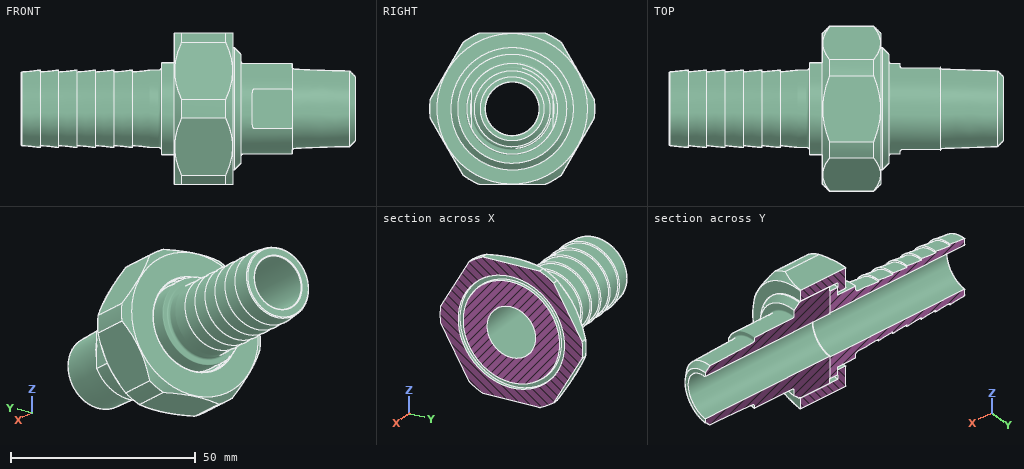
import cadquery as cq
import math

LENGTH = 90.5

TAIL_BORE_D = 15.0
TAIL_BORE_CHAMFER = 0.2
TAIL_RIM_CHAMFER = 0.3
BARB_COUNT = 7
BARB_PITCH = 5.0
BARB_ROOT_D = 20.0
BARB_PEAK_D = 21.0
BARB_LAND = 0.3
SHANK_END_X = 37.2
COLLAR_X = 38.0
COLLAR_D = 25.0
COLLAR_FILLET = 0.3
SHANK_FILLET = COLLAR_X - SHANK_END_X
TAIL_FLANGE_D = 30.3
TAIL_FLANGE_WIDTH = 2.7

NUT_X = 41.45
NUT_WIDTH = 15.9
NUT_ACROSS_FLATS = 41.0
NUT_CORNER_D = 44.7
NUT_CHAMFER = 2.0
NUT_LIP_WIDTH = 2.9
NUT_LIP_BORE_D = 26.5
NUT_LIP_CHAMFER = 0.3

END_BORE_D = 14.5
UNION_THREAD_D = 33.1
UNION_THREAD_END_X = 59.55
UNION_THREAD_END_D = 29.5
NECK_D = 24.5
NECK_END_X = 73.4
NECK_ROOT_FILLET = 0.5
NECK_EDGE_FILLET = 0.2
FLATS_X = 62.5
ACROSS_FLATS = 22.1
FLATS_FILLET = 0.5
PIPE_START_D = 21.5
PIPE_ROOT_FILLET = 0.5
PIPE_END_D = 20.5
PIPE_CHAMFER = 1.6

FLANGE_X = NUT_X + NUT_LIP_WIDTH
SEAT_X = FLANGE_X + TAIL_FLANGE_WIDTH

ARC_MID = math.sqrt(0.5)


def cylinder_x(diameter, start, end):
    return cq.Workplane("YZ").workplane(offset=start).circle(diameter / 2).extrude(end - start)


def revolve_about_x(profile):
    return profile.close().revolve(360, (0, 0, 0), (1, 0, 0))


def root_fillet_up(profile, x, r, size):
    """Concave quarter arc from a cylinder at radius r up to a face on its right."""
    return profile.threePointArc(
        (x + size * ARC_MID, r + size * (1 - ARC_MID)), (x + size, r + size)
    )


def root_fillet_down(profile, x, r, size):
    """Concave quarter arc from a face at x down to a cylinder of radius r on its right."""
    return profile.lineTo(x, r + size).threePointArc(
        (x + size * (1 - ARC_MID), r + size * (1 - ARC_MID)), (x + size, r)
    )


def make_hose_tail():
    root_r = BARB_ROOT_D / 2
    peak_r = BARB_PEAK_D / 2
    bore_r = TAIL_BORE_D / 2
    profile = (
        cq.Workplane("XY")
        .moveTo(TAIL_BORE_CHAMFER, bore_r)
        .lineTo(0, bore_r + TAIL_BORE_CHAMFER)
        .lineTo(0, root_r - TAIL_RIM_CHAMFER)
        .lineTo(TAIL_RIM_CHAMFER, root_r)
    )
    for barb in range(1, BARB_COUNT):
        crest_x = barb * BARB_PITCH + BARB_LAND
        profile = (
            profile.lineTo(crest_x - BARB_LAND, peak_r)
            .lineTo(crest_x, peak_r)
            .lineTo(crest_x, root_r)
        )
    profile = profile.lineTo(BARB_COUNT * BARB_PITCH, peak_r).lineTo(SHANK_END_X, peak_r)
    profile = root_fillet_up(profile, SHANK_END_X, peak_r, SHANK_FILLET)
    collar_r = COLLAR_D / 2
    edge_inset = COLLAR_FILLET * (1 - ARC_MID)
    profile = (
        profile.lineTo(COLLAR_X, collar_r - COLLAR_FILLET)
        .threePointArc(
            (COLLAR_X + edge_inset, collar_r - edge_inset),
            (COLLAR_X + COLLAR_FILLET, collar_r),
        )
        .lineTo(FLANGE_X, collar_r)
        .lineTo(FLANGE_X, TAIL_FLANGE_D / 2)
        .lineTo(SEAT_X, TAIL_FLANGE_D / 2)
        .lineTo(SEAT_X, bore_r)
    )
    return revolve_about_x(profile)


def make_union_nut():
    end_x = NUT_X + NUT_WIDTH
    hexagon = (
        cq.Workplane("YZ")
        .workplane(offset=NUT_X)
        .polygon(6, NUT_ACROSS_FLATS, circumscribed=True)
        .extrude(NUT_WIDTH)
        .rotate((0, 0, 0), (1, 0, 0), 90)
    )
    corner_limit = cylinder_x(NUT_CORNER_D, NUT_X, end_x).edges().chamfer(NUT_CHAMFER)
    lip_bore = cylinder_x(NUT_LIP_BORE_D, NUT_X, end_x)
    thread_bore = cylinder_x(UNION_THREAD_D, FLANGE_X, end_x)
    nut = hexagon.intersect(corner_limit).cut(lip_bore).cut(thread_bore)
    return nut.faces("<X").edges("%CIRCLE").edges(cq.selectors.RadiusNthSelector(0)).chamfer(NUT_LIP_CHAMFER)


def make_end_piece():
    bore_r = END_BORE_D / 2
    thread_r = UNION_THREAD_D / 2
    thread_end_r = UNION_THREAD_END_D / 2
    neck_r = NECK_D / 2
    pipe_end_r = PIPE_END_D / 2
    edge_inset = NECK_EDGE_FILLET * (1 - ARC_MID)
    profile = (
        cq.Workplane("XY")
        .moveTo(SEAT_X, bore_r)
        .lineTo(SEAT_X, thread_r)
        .lineTo(UNION_THREAD_END_X - (thread_r - thread_end_r), thread_r)
        .lineTo(UNION_THREAD_END_X, thread_end_r)
    )
    profile = root_fillet_down(profile, UNION_THREAD_END_X, neck_r, NECK_ROOT_FILLET)
    profile = (
        profile.lineTo(NECK_END_X - NECK_EDGE_FILLET, neck_r)
        .threePointArc(
            (NECK_END_X - edge_inset, neck_r - edge_inset),
            (NECK_END_X, neck_r - NECK_EDGE_FILLET),
        )
    )
    profile = root_fillet_down(profile, NECK_END_X, PIPE_START_D / 2, PIPE_ROOT_FILLET)
    profile = (
        profile.lineTo(LENGTH - PIPE_CHAMFER, pipe_end_r)
        .lineTo(LENGTH, pipe_end_r - PIPE_CHAMFER)
        .lineTo(LENGTH, bore_r)
    )
    return cut_wrench_flats(revolve_about_x(profile))


def cut_wrench_flats(body):
    """Two opposite flats facing -Y and +Y."""
    flats_length = NECK_END_X - FLATS_X
    for side in (-1, 1):
        cutter = (
            cq.Workplane("XY")
            .box(flats_length, NECK_D, NECK_D, centered=(False, True, True))
            .edges("<X and |Z")
            .fillet(FLATS_FILLET)
            .translate((FLATS_X, side * (ACROSS_FLATS + NECK_D) / 2, 0))
        )
        body = body.cut(cutter)
    return body


hose_tail = make_hose_tail()
union_nut = make_union_nut()
end_piece = make_end_piece()

result = cq.Compound.makeCompound([hose_tail.val(), union_nut.val(), end_piece.val()])